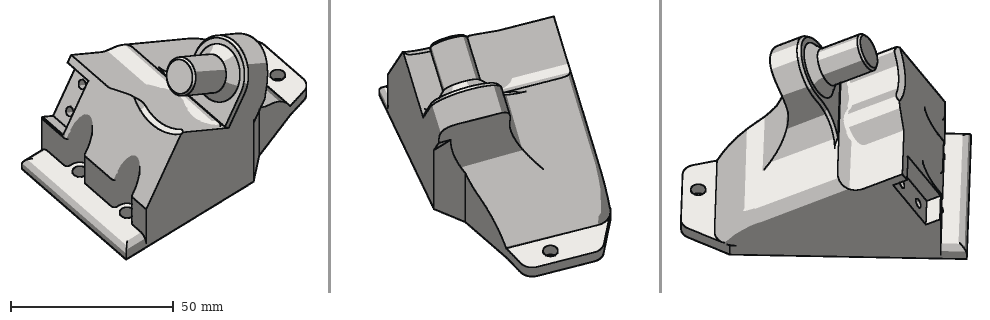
import cadquery as cq
import math

WIDTH = 50.0
LENGTH = 88.2
TILT = 30.0
FRONT_WALL_Y = 8.0
FRONT_WALL_TOP = 17.1
EDGE_ROUND = 5.7
HUMP_START_Y = 65.5
HUMP_RADIUS = 31.8
CUT_HEIGHT = 70.6
OVERSHOOT = 4.4

BODY_TOP_U = 28.6
LEDGE_U = 23.6
WALL_W = -20.6
CHANNEL_RADIUS = 7.1

FLANGE_HEIGHT = 4.85
FLANGE_ROUND = 3.0
TAB_HEIGHT = 4.15
TAB_LEFT_Y = 72.9
TAB_BACK_LEFT_X = 8.1
TAB_BACK_RIGHT_X = 32.7
TAB_CORNER_RADIUS = 4.4
TAB_RIGHT_FOOT = (35.7, 77.8)
BODY_RIGHT_KINK = (42.7, 59.55)
BODY_RIGHT_END_Y = 51.2

BOLT_DIAMETER = 4.6
FRONT_BOLT_Y = 10.1
FRONT_BOLT_XS = (15.9, 38.5)
TAB_BOLT = (23.3, 83.2)
GROOVE_RADIUS = 3.9
GROOVE_LIP = 1.3

BOSS_RADIUS = 11.6
BOSS_X = WIDTH - BOSS_RADIUS
BOSS_U = 41.3
BOSS_RIM_CHAMFER_WIDTH = 0.7
BOSS_RIM_CHAMFER_DEPTH = 1.1
BOSS_BACK_W = -32.6
NECK_SIDE_RADIUS = 10.3
NECK_BACK_RADIUS = 18.8
NECK_BACK_W = -49.3
PIN_RADIUS = 6.0
PIN_END_W = -2.8
PIN_EMBED = 0.9
PIN_CHAMFER = 0.7
PIN_ROOT_FLARE = 3.0

CREST_X = 29.1
CREST_U = 27.0
RAMP_ANGLE = 20.0
TROUGH_RADIUS = 17.3
TROUGH_CHAMFER = 1.5
TROUGH_SHOULDER_ROUND = 1.3
SADDLE_ROUND = 1.8

NOTCH_WIDTH = 10.0
NOTCH_BOTTOM_U = 0.6
NOTCH_TOP_U = 20.7
NOTCH_DEPTH = 4.9
SCREW_DIAMETER = 3.0
SCREW_DEPTH = 8.8
SCREW_X = NOTCH_WIDTH / 2
SCREW_US = (5.6, 15.6)

TOLERANCE = 0.01

SIN = math.sin(math.radians(TILT))
COS = math.cos(math.radians(TILT))
FACE_ORIGIN = (0, FRONT_WALL_Y, FRONT_WALL_TOP)
FACE = cq.Plane(origin=FACE_ORIGIN, xDir=(1, 0, 0), normal=(0, -COS, SIN))
SIDE = cq.Plane(origin=FACE_ORIGIN, xDir=(0, -COS, SIN), normal=(-1, 0, 0))


def face_plane(w):
    """Workplane parallel to the sloping face; its local axes are X and U."""
    return cq.Workplane(FACE).workplane(offset=w)


def side_plane():
    """Workplane on the left side; its local axes are W and U."""
    return cq.Workplane(SIDE)


def make_wedge():
    crest_y = FRONT_WALL_Y + BODY_TOP_U * SIN
    crest_z = FRONT_WALL_TOP + BODY_TOP_U * COS
    hump_start_z = crest_z - (HUMP_START_Y - crest_y) * math.tan(math.radians(TILT))
    center_y = HUMP_START_Y - HUMP_RADIUS * SIN
    center_z = hump_start_z - HUMP_RADIUS * COS
    end_angle = math.asin(-center_z / HUMP_RADIUS)
    middle_angle = (end_angle + math.radians(90 - TILT)) / 2

    def hump_point(angle):
        return (center_y + HUMP_RADIUS * math.cos(angle), center_z + HUMP_RADIUS * math.sin(angle))

    wedge = (
        cq.Workplane("YZ")
        .moveTo(FRONT_WALL_Y, 0)
        .lineTo(FRONT_WALL_Y, FRONT_WALL_TOP)
        .lineTo(crest_y, crest_z)
        .lineTo(HUMP_START_Y, hump_start_z)
        .threePointArc(hump_point(middle_angle), hump_point(end_angle))
        .close()
        .extrude(WIDTH)
    )
    slope_middle = (0, (crest_y + HUMP_START_Y) / 2, (crest_z + hump_start_z) / 2)
    hump_middle = (0, *hump_point(middle_angle))
    nearest = cq.selectors.NearestToPointSelector
    return wedge.edges(nearest(slope_middle) + nearest(hump_middle)).fillet(EDGE_ROUND)


def make_neck():
    """Boss and its flared neck, with a hollowed back."""
    left = BOSS_X - BOSS_RADIUS
    flare = NECK_SIDE_RADIUS
    diagonal = flare * math.sqrt(0.5)
    flare_middle = (left - flare + diagonal, BODY_TOP_U + flare - diagonal)
    neck = (
        face_plane(NECK_BACK_W)
        .moveTo(left - flare, BODY_TOP_U)
        .threePointArc(flare_middle, (left, BODY_TOP_U + flare))
        .lineTo(left, BOSS_U)
        .threePointArc((BOSS_X, BOSS_U + BOSS_RADIUS), (WIDTH, BOSS_U))
        .lineTo(WIDTH, BODY_TOP_U - EDGE_ROUND)
        .lineTo(left - flare, BODY_TOP_U - EDGE_ROUND)
        .close()
        .extrude(WALL_W - NECK_BACK_W)
    )
    front_face = neck.faces(cq.selectors.DirectionMinMaxSelector(FACE.zDir))
    rim = front_face.edges().filter(lambda edge: FACE.toLocalCoords(edge.Center()).y > BODY_TOP_U)
    chamfered = neck.val().chamfer(BOSS_RIM_CHAMFER_DEPTH, BOSS_RIM_CHAMFER_WIDTH, rim.vals())
    neck = cq.Workplane(chamfered)
    hollow = (
        side_plane()
        .center(NECK_BACK_W, BODY_TOP_U + NECK_BACK_RADIUS)
        .circle(NECK_BACK_RADIUS)
        .extrude(-WIDTH)
    )
    return neck.cut(hollow)


def make_ledge_cut():
    """Space ahead of the boss: a rounded step, bounded below by the saddle."""
    channel_center_w = WALL_W + CHANNEL_RADIUS
    channel_top_u = LEDGE_U + CHANNEL_RADIUS
    diagonal = CHANNEL_RADIUS * math.sqrt(0.5)
    step = (
        side_plane()
        .moveTo(OVERSHOOT, LEDGE_U)
        .lineTo(channel_center_w, LEDGE_U)
        .threePointArc((channel_center_w - diagonal, channel_top_u - diagonal), (WALL_W, channel_top_u))
        .lineTo(OVERSHOOT, channel_top_u)
        .close()
        .extrude(-WIDTH)
    )
    space = step.cut(make_saddle())

    def is_saddle_seam(edge):
        """Ramp foot on the ledge, and the edges where the saddle meets the rounded step."""
        local = FACE.toLocalCoords(edge.Center())
        inside = TOLERANCE < local.x < WIDTH - TOLERANCE
        along_w = abs(edge.tangentAt(0.5).dot(FACE.zDir)) > 0.9 - TOLERANCE
        ramp_foot = along_w and abs(local.y - LEDGE_U) < TOLERANCE
        on_step = not along_w and WALL_W < local.z < channel_center_w
        below_top = LEDGE_U + TOLERANCE < local.y < BODY_TOP_U - TOLERANCE
        return inside and (ramp_foot or (on_step and below_top))

    return space.edges().filter(is_saddle_seam).fillet(SADDLE_ROUND)


def make_saddle():
    slope = math.radians(RAMP_ANGLE)
    trough_bottom_x = BOSS_X
    crest_radius = (trough_bottom_x - CREST_X) / math.sin(slope) - TROUGH_RADIUS
    crest_half = crest_radius * math.sin(slope)
    shoulder_u = CREST_U - crest_radius * (1 - math.cos(slope))
    trough_bottom_u = shoulder_u - TROUGH_RADIUS * (1 - math.cos(slope))
    trough_center_u = trough_bottom_u + TROUGH_RADIUS
    trough_half = math.sqrt(TROUGH_RADIUS**2 - (trough_center_u - BODY_TOP_U) ** 2)
    ramp_start_x = CREST_X - crest_half - (shoulder_u - LEDGE_U) / math.tan(slope)
    saddle = (
        face_plane(WALL_W)
        .moveTo(ramp_start_x, LEDGE_U)
        .lineTo(CREST_X - crest_half, shoulder_u)
        .threePointArc((CREST_X, CREST_U), (CREST_X + crest_half, shoulder_u))
        .threePointArc((trough_bottom_x, trough_bottom_u), (trough_bottom_x + trough_half, BODY_TOP_U))
        .lineTo(WIDTH, BODY_TOP_U)
        .lineTo(WIDTH, 0)
        .lineTo(ramp_start_x, 0)
        .close()
        .extrude(-WALL_W)
    )
    lead_in = (
        face_plane(0)
        .center(trough_bottom_x, trough_center_u)
        .circle(TROUGH_RADIUS + TROUGH_CHAMFER)
        .workplane(offset=-TROUGH_CHAMFER)
        .circle(TROUGH_RADIUS)
        .loft()
    )
    shoulder = FACE.toWorldCoords((trough_bottom_x + trough_half, BODY_TOP_U, WALL_W / 2)).toTuple()
    saddle = saddle.edges(cq.selectors.NearestToPointSelector(shoulder)).fillet(TROUGH_SHOULDER_ROUND)
    return saddle.cut(lead_in)


def make_plan():
    """Upright prism with the outline of the part seen from above."""
    return (
        cq.Workplane("XY")
        .polyline(
            [
                (0, 0),
                (WIDTH, 0),
                (WIDTH, BODY_RIGHT_END_Y),
                BODY_RIGHT_KINK,
                TAB_RIGHT_FOOT,
                (TAB_BACK_RIGHT_X, LENGTH),
                (TAB_BACK_LEFT_X, LENGTH),
                (0, TAB_LEFT_Y),
            ]
        )
        .close()
        .extrude(CUT_HEIGHT)
        .edges("|Z and >Y")
        .fillet(TAB_CORNER_RADIUS)
    )


def make_flange():
    flange = cq.Workplane("XY").box(WIDTH, FRONT_WALL_Y + OVERSHOOT, FLANGE_HEIGHT, centered=False)
    return flange.edges(">Z and (<Y or <X or >X)").fillet(FLANGE_ROUND)


def make_tab():
    return (
        cq.Workplane("XY", origin=(0, FRONT_WALL_Y + OVERSHOOT, 0))
        .box(WIDTH, LENGTH - FRONT_WALL_Y - OVERSHOOT, TAB_HEIGHT, centered=False)
    )


def make_pin():
    """Pin along W with a conical root on the boss face."""
    root = PIN_RADIUS + PIN_ROOT_FLARE
    pin_plane = cq.Plane(
        origin=FACE.toWorldCoords((BOSS_X, BOSS_U, 0)), xDir=(1, 0, 0), normal=(0, -SIN, -COS)
    )
    return (
        cq.Workplane(pin_plane)
        .moveTo(0, WALL_W - PIN_EMBED)
        .lineTo(root, WALL_W - PIN_EMBED)
        .lineTo(root, WALL_W)
        .lineTo(PIN_RADIUS, WALL_W + PIN_ROOT_FLARE)
        .lineTo(PIN_RADIUS, PIN_END_W - PIN_CHAMFER)
        .lineTo(PIN_RADIUS - PIN_CHAMFER, PIN_END_W)
        .lineTo(0, PIN_END_W)
        .close()
        .revolve(360, (0, 0, 0), (0, 1, 0))
    )


def cut_grooves(body):
    for x in FRONT_BOLT_XS:
        groove = (
            cq.Workplane("XY", origin=(x, FRONT_BOLT_Y, FLANGE_HEIGHT))
            .circle(GROOVE_RADIUS)
            .extrude(CUT_HEIGHT)
            .union(
                cq.Workplane("XY", origin=(x, FRONT_BOLT_Y - OVERSHOOT, FLANGE_HEIGHT))
                .rect(2 * GROOVE_RADIUS, 2 * OVERSHOOT)
                .extrude(CUT_HEIGHT)
            )
        )
        body = body.cut(groove)
    return body


def groove_lips(body):
    """Edges where the grooves break through the front wall and the sloping face."""
    def is_lip(edge):
        center = edge.Center()
        reach = min(abs(center.x - x) for x in FRONT_BOLT_XS)
        out_of_face = FACE.toLocalCoords(center).z
        on_wall = abs(center.y - FRONT_WALL_Y) < TOLERANCE and edge.geomType() == "LINE"
        upright = abs(edge.tangentAt(0).z) > TOLERANCE
        on_slope = abs(out_of_face) < TOLERANCE and center.z > FRONT_WALL_TOP
        return reach < GROOVE_RADIUS + TOLERANCE and upright and (on_wall or on_slope)

    return body.edges().filter(is_lip)


def make_boss_zone():
    """Everything ahead of the boss back, which the plan outline leaves whole."""
    return face_plane(BOSS_BACK_W).rect(4 * LENGTH, 4 * LENGTH).extrude(LENGTH)


body = cut_grooves(make_wedge())
body = groove_lips(body).fillet(GROOVE_LIP)
body = body.union(make_neck()).cut(make_ledge_cut()).union(make_tab())
body = body.intersect(make_plan().union(make_boss_zone()))
body = body.union(make_flange()).union(make_pin())

notch = (
    face_plane(-NOTCH_DEPTH)
    .moveTo(0, NOTCH_BOTTOM_U)
    .rect(NOTCH_WIDTH, NOTCH_TOP_U - NOTCH_BOTTOM_U, centered=False)
    .extrude(NOTCH_DEPTH + OVERSHOOT)
)
screw_points = [(SCREW_X, u) for u in SCREW_US]
screws = face_plane(-NOTCH_DEPTH).pushPoints(screw_points).circle(SCREW_DIAMETER / 2).extrude(-SCREW_DEPTH)
bolt_points = [(x, FRONT_BOLT_Y) for x in FRONT_BOLT_XS] + [TAB_BOLT]
bolts = cq.Workplane("XY").pushPoints(bolt_points).circle(BOLT_DIAMETER / 2).extrude(FLANGE_HEIGHT)
result = body.cut(notch).cut(screws).cut(bolts)